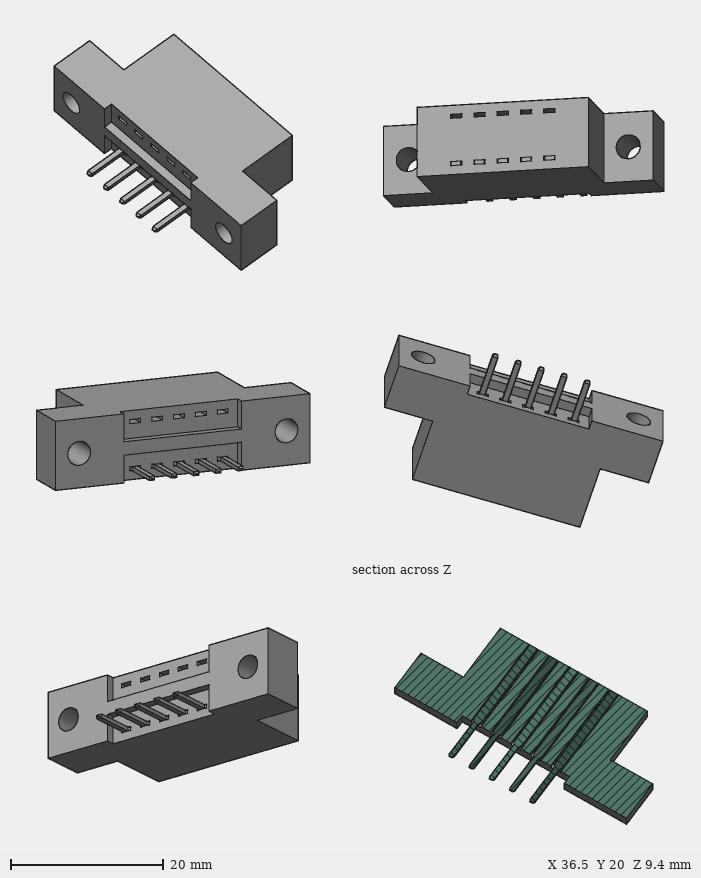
import cadquery as cq

flange_width = 36.45
flange_depth = 6.35
housing_height = 9.4
housing_depth = 15.25
block_width = 23.1

hole_diameter = 3.25
hole_spacing = 29.7

recess_width = 16.8
recess_depth = 1.25
bar_height = 1.82
recess_height = (housing_height - bar_height) / 2

contact_count = 5
contact_middle = (contact_count - 1) / 2
slot_pitch = 3.15
slot_width = 1.53
slot_height = 0.55
row_height = 3.2

contact_pitch = 3.17
blade_width = 1.25
blade_setback = 0.6
shoulder_length = 0.55
tail_width = 0.75
tail_reach = 4.77
tip_length = 0.33
tip_width = 0.47
tip_thickness = 0.2
contact_thickness = slot_height


def box(width, depth, height, x=0.0, y=0.0, z=0.0):
    """Box centred on x and z that reaches back from y."""
    return cq.Workplane("XY").box(width, depth, height, centered=(True, False, True)).translate((x, y, z))


def make_housing():
    body = box(flange_width, flange_depth, housing_height)
    body = body.union(box(block_width, housing_depth, housing_height))

    for side in (-1, 1):
        hole = cq.Workplane("XZ").center(side * hole_spacing / 2, 0).circle(hole_diameter / 2)
        body = body.cut(hole.extrude(-flange_depth))

        recess_z = side * (bar_height + recess_height) / 2
        body = body.cut(box(recess_width, recess_depth, recess_height, z=recess_z))

        for index in range(contact_count):
            slot_x = (index - contact_middle) * slot_pitch
            slot = box(slot_width, housing_depth, slot_height, x=slot_x, z=side * row_height)
            body = body.cut(slot)
    return body


def taper(start_width, start_thickness, end_width, end_thickness, start_y, length):
    """Tapered bar from a start rectangle at start_y to an end rectangle further forward."""
    return (
        cq.Workplane("XZ", origin=(0, start_y, 0))
        .rect(start_width, start_thickness)
        .workplane(offset=length)
        .rect(end_width, end_thickness)
        .loft()
    )


def make_contact(x):
    """Contact lying in a lower slot, its blade ending flush with the housing back."""
    blade_front = recess_depth + blade_setback
    blade = box(blade_width, housing_depth - blade_front, contact_thickness, y=blade_front)
    shoulder = taper(
        blade_width, contact_thickness, tail_width, contact_thickness, blade_front, shoulder_length
    )

    tail_back = blade_front - shoulder_length
    tip_base = tip_length - tail_reach
    tail = box(tail_width, tail_back - tip_base, contact_thickness, y=tip_base)
    tip = taper(tail_width, contact_thickness, tip_width, tip_thickness, tip_base, tip_length)
    return blade.union(shoulder).union(tail).union(tip).translate((x, 0, -row_height))


housing = make_housing()
contacts = [make_contact((index - contact_middle) * contact_pitch) for index in range(contact_count)]

result = cq.Compound.makeCompound([housing.val(), *[contact.val() for contact in contacts]])